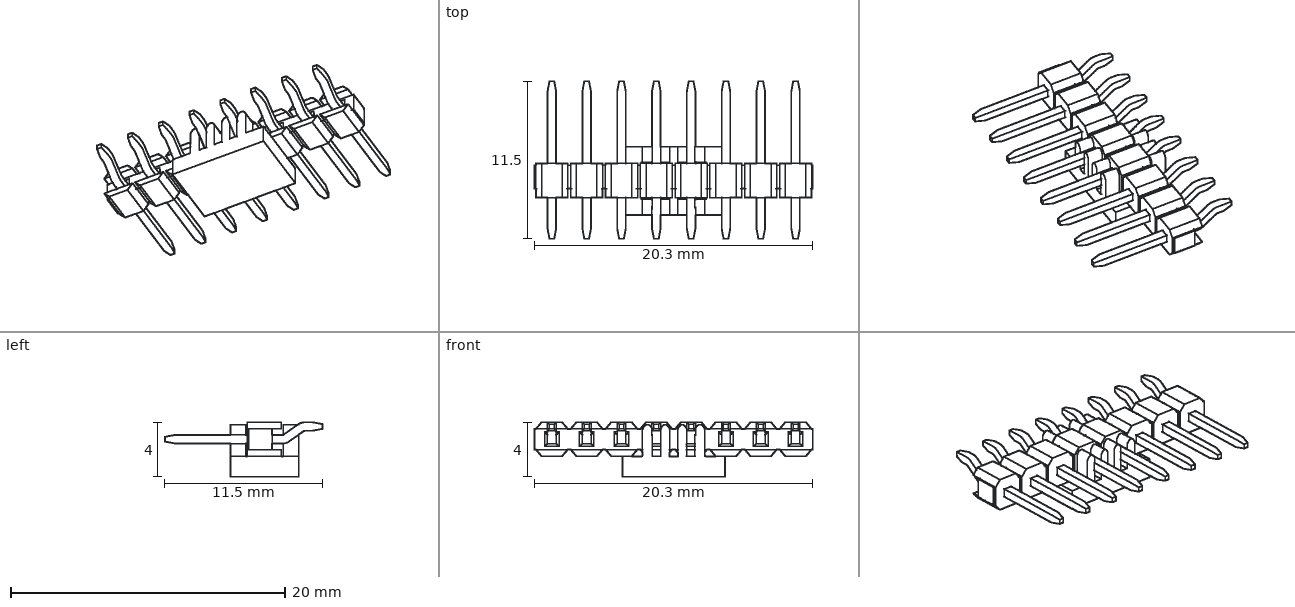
import cadquery as cq
import math

pin_count = 8
pitch = 2.54

base_length = 7.5
base_depth = 5.0
base_height = 1.5
prong_top = 3.81
prong_depth = 1.14
slot_spacing = 2.5
slot_width = 0.6
outer_prong_width = 0.73
inner_prong_width = 0.65
crown_slope = 55.0
crown_flat = 0.155
shoulder_radius = 0.22
foot_radius = 0.1

block_height = 2.5
block_depth = 2.5
block_back = pitch / 2
block_width = 2.34
block_face_width = 1.5
bar_height = 1.5
bar_back = 1.14
bar_front = -0.56
funnel_mouth = 1.06
funnel_depth = 0.5

pin_size = 0.64
pin_back = 7.27
pin_front = -4.23
tip_size = 0.36
tip_length = 0.74
bend_start = -1.3
bend_angle = 35.0
bend_inner_radius = 0.2

block_front = block_back - block_depth
strip_length = pin_count * pitch
housing_top = base_height + block_height
pin_z = base_height + block_height / 2
foot_z = housing_top - pin_size / 2
pin_positions = [(i - (pin_count - 1) / 2) * pitch for i in range(pin_count)]


def box(x_range, y_range, z_range):
    """Box between the given (low, high) limits on each axis."""
    lengths = [high - low for low, high in (x_range, y_range, z_range)]
    corner = (x_range[0], y_range[0], z_range[0])
    return cq.Workplane("XY").box(*lengths, centered=False).translate(corner)


def frustum(y_start, start_size, y_end, end_size, z):
    """Square frustum along Y, centred on x = 0 at height z; y_start is ahead of y_end."""
    return (
        cq.Workplane("XZ", origin=(0, y_start, z))
        .rect(start_size, start_size)
        .workplane(offset=y_start - y_end)
        .rect(end_size, end_size)
        .loft(ruled=True)
    )


def bent_shank():
    """Constant-section part of the pin, with its foot cranked up level with the housing top."""
    half = pin_size / 2
    angle = math.radians(bend_angle)
    outer_radius = bend_inner_radius + pin_size
    mean_radius = bend_inner_radius + half
    arc_rise = mean_radius * (1 - math.cos(angle))
    slope_length = (foot_z - pin_z - 2 * arc_rise) / math.sin(angle)
    bend_end = bend_start - 2 * mean_radius * math.sin(angle) - slope_length * math.cos(angle)
    lower_center_z = pin_z + mean_radius
    upper_center_z = foot_z - mean_radius

    def lower_arc(radius, turn):
        return bend_start - radius * math.sin(turn), lower_center_z - radius * math.cos(turn)

    def upper_arc(radius, turn):
        return bend_end + radius * math.sin(turn), upper_center_z + radius * math.cos(turn)

    profile = (
        cq.Workplane("YZ", origin=(-half, 0, 0))
        .moveTo(pin_back - tip_length, pin_z + half)
        .lineTo(*lower_arc(bend_inner_radius, 0))
        .threePointArc(lower_arc(bend_inner_radius, angle / 2), lower_arc(bend_inner_radius, angle))
        .lineTo(*upper_arc(outer_radius, angle))
        .threePointArc(upper_arc(outer_radius, angle / 2), upper_arc(outer_radius, 0))
        .lineTo(pin_front + tip_length, foot_z + half)
        .lineTo(pin_front + tip_length, foot_z - half)
        .lineTo(*upper_arc(bend_inner_radius, 0))
        .threePointArc(upper_arc(bend_inner_radius, angle / 2), upper_arc(bend_inner_radius, angle))
        .lineTo(*lower_arc(outer_radius, angle))
        .threePointArc(lower_arc(outer_radius, angle / 2), lower_arc(outer_radius, 0))
        .lineTo(pin_back - tip_length, pin_z - half)
        .close()
    )
    return profile.extrude(pin_size)


def make_pin(x):
    back_tip = frustum(pin_back, tip_size, pin_back - tip_length, pin_size, pin_z)
    front_tip = frustum(pin_front + tip_length, pin_size, pin_front, tip_size, foot_z)
    return bent_shank().union(back_tip).union(front_tip).translate((x, 0, 0))


def housing_block():
    """Eight-sided block, relieved at the front so that only its top and bottom lips overhang the bar."""
    half_width = block_width / 2
    half_face = block_face_width / 2
    half_bar = bar_height / 2
    half_height = block_height / 2
    right_side = [
        (half_face, -half_height),
        (half_width, -half_bar),
        (half_width, half_bar),
        (half_face, half_height),
    ]
    left_side = [(-x, z) for x, z in reversed(right_side)]
    block = (
        cq.Workplane("XZ", origin=(0, block_back, pin_z))
        .polyline(right_side + left_side)
        .close()
        .extrude(block_depth)
    )
    front_relief = box(
        (-half_width, half_width),
        (block_front, bar_front),
        (pin_z - half_bar, pin_z + half_bar),
    )
    return block.cut(front_relief)


def make_housing(pins):
    housing = box(
        (-strip_length / 2, strip_length / 2),
        (bar_front, bar_back),
        (pin_z - bar_height / 2, pin_z + bar_height / 2),
    )
    block = housing_block()
    for x in pin_positions:
        housing = housing.union(block.translate((x, 0, 0)))
    funnel = frustum(bar_front + funnel_depth, pin_size, bar_front, funnel_mouth, pin_z)
    for x, pin in zip(pin_positions, pins):
        housing = housing.cut(funnel.translate((x, 0, 0))).cut(pin)
    return housing


def prong(x_center, width, y_low):
    """Post whose crown runs from a top arc through sloped flats and shoulder arcs into its sides."""
    slope = math.radians(crown_slope)
    half_width = width / 2
    flat_run = crown_flat * math.cos(slope)
    shoulder_run = shoulder_radius * (1 - math.sin(slope))
    top_radius = (half_width - flat_run - shoulder_run) / math.sin(slope)
    flat_low_z = prong_top - top_radius * (1 - math.cos(slope)) - crown_flat * math.sin(slope)
    shoulder_center_x = half_width - shoulder_radius
    shoulder_center_z = flat_low_z - shoulder_radius * math.cos(slope)

    def top_arc_end(side):
        return side * top_radius * math.sin(slope), prong_top - top_radius * (1 - math.cos(slope))

    def shoulder(side, turn):
        x = shoulder_center_x + shoulder_radius * math.sin(turn)
        return side * x, shoulder_center_z + shoulder_radius * math.cos(turn)

    mid_turn = (slope + math.pi / 2) / 2
    return (
        cq.Workplane("XZ", origin=(x_center, y_low + prong_depth, 0))
        .moveTo(-half_width, base_height)
        .lineTo(*shoulder(-1, math.pi / 2))
        .threePointArc(shoulder(-1, mid_turn), shoulder(-1, slope))
        .lineTo(*top_arc_end(-1))
        .threePointArc((0, prong_top), top_arc_end(1))
        .lineTo(*shoulder(1, slope))
        .threePointArc(shoulder(1, mid_turn), shoulder(1, math.pi / 2))
        .lineTo(half_width, base_height)
        .close()
        .extrude(prong_depth)
    )


def foot_fillet(side, x_edge, y_low):
    """Concave fillet between the outer flank of an outer prong and the base plate."""
    reach = side * foot_radius
    bulge = side * foot_radius * (1 - math.sqrt(0.5))
    return (
        cq.Workplane("XZ", origin=(side * x_edge, y_low + prong_depth, base_height))
        .lineTo(reach, 0)
        .threePointArc((bulge, foot_radius * (1 - math.sqrt(0.5))), (0, foot_radius))
        .close()
        .extrude(prong_depth)
    )


def make_clip(pins):
    half_depth = base_depth / 2
    clip = box((-base_length / 2, base_length / 2), (-half_depth, half_depth), (0, base_height))
    outer_center = (slot_spacing + slot_width + outer_prong_width) / 2
    outer_edge = outer_center + outer_prong_width / 2
    inner_center = (slot_spacing - slot_width - inner_prong_width) / 2
    for y_low in (-half_depth, half_depth - prong_depth):
        for side in (-1, 1):
            clip = clip.union(prong(side * outer_center, outer_prong_width, y_low))
            clip = clip.union(prong(side * inner_center, inner_prong_width, y_low))
            clip = clip.union(foot_fillet(side, outer_edge, y_low))
    for pin in pins:
        clip = clip.cut(pin)
    return clip


pins = [make_pin(x) for x in pin_positions]
housing = make_housing(pins)
clip = make_clip(pins)

pin_solids = [pin.solids().val() for pin in pins]
result = cq.Compound.makeCompound([clip.solids().val(), housing.solids().val(), *pin_solids])